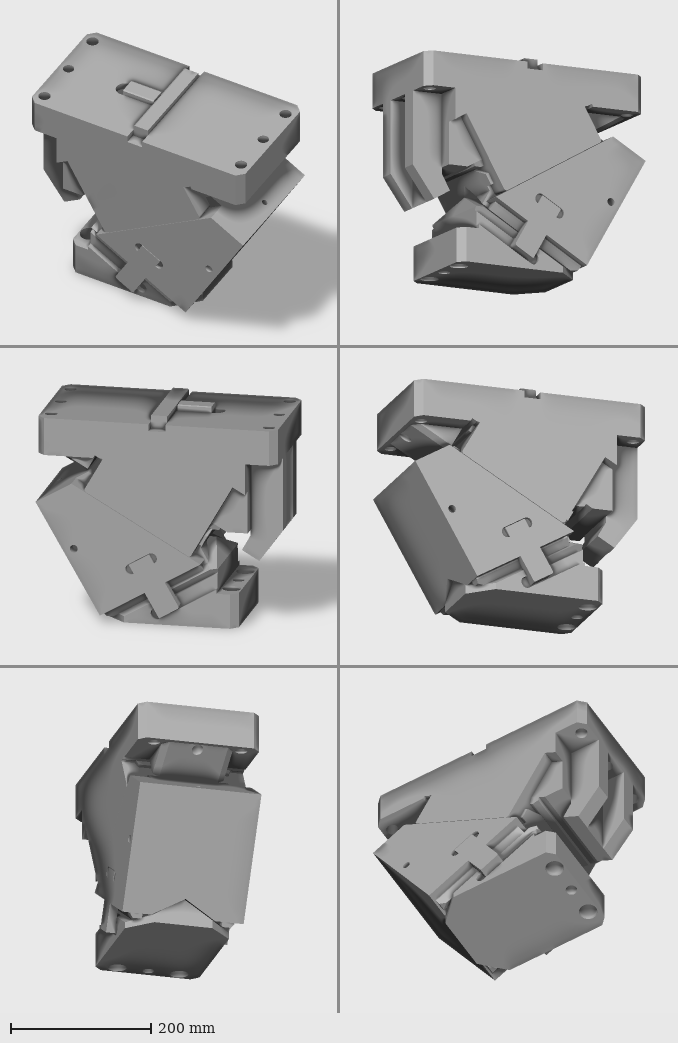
import cadquery as cq
import math


TILT = math.radians(30)
COS, SIN = math.cos(TILT), math.sin(TILT)

length = 352.0
width = 180.0
half_width = width / 2
top_z = 300.5

slide_top_length = 217.5
slide_end_length = 60.5
toe_x = length - (slide_top_length + slide_end_length) * COS
toe_z = 96.5
slide_bottom_length = slide_top_length * math.cos(2 * TILT) + slide_end_length
nose_step = 2.8

neck_half = 59.0
neck_height = 18.0
head_half = 70.5
head_edge_height = 34.5
head_height = 47.0
head_flat_half = 43.0
head_start = 13.0
rail_start = 18.0
rail_end = 197.5
rail_gap = 0.7

roof_half = 69.5
roof_edge = -12.5
roof_gap = 1.5
roof_apex = roof_edge + roof_half * math.tan(TILT)
tongue_half = 77.0
tongue_root = 3.5
tongue_side = 2.0
tongue_start = 7.0
tongue_end = 166.2
tongue_lowest_z = 6.7

hook_start = 60.0
hook_end = 94.0
hook_foot_inner = 72.0
hook_foot_top = -26.8
hook_bottom = -42.3
hook_fillet = 3.5
hook_top = 46.5
relief_end = 8.0
relief_bottom = 31.7
relief_top = 47.5
relief_radius = 7.7
relief_depth = 5.3

side_hole_x, side_hole_z = 296.0, 108.8
side_hole_diameter = 11.3
side_hole_depth = 17.5
end_hole_distance = 43.0
end_hole_diameter = 8.5
end_hole_depth = 17.5

plate_right = 350.0
plate_bottom = 245.5
corner_chamfer = 10.5
leg_top = 249.3
leg_half = 46.5
leg_slot_half = 22.2
leg_slot_depth = 35.2
leg_shoulder_z = 141.2
leg_tip = (34.5, 94.5)
leg_heel = (60.0, 109.0)
leg_back_x = 47.2
leg_knee_z = 131.7
web_x = 46.0
web_height = 56.5
notch_height = 125.5
rail_fillet = 4.2
ridge_start = 3.5
ridge_end = 202.5
ridge_flat_half = 67.0
ridge_lowest_z = 143.3
gap_top = 55.3
rear_gap_end = 210.2
rear_height = 19.0
rear_ridge_height = 13.5
rear_half = 52.8
rear_ridge_half = 43.3

left_hole_x, left_hole_y = 15.0, 69.7
right_hole_x, right_hole_y = 334.5, 64.8
outer_hole_diameter = 17.5
middle_hole_diameter = 16.2

key_slot_left, key_slot_right = 162.3, 186.5
key_floor = 290.0
key_top = 309.0
key_chamfer = 2.0
cross_key_left = 163.5
cross_key_half = 73.2
long_slot_half = 12.5
long_slot_left = 94.5
long_key_left = 111.5
long_key_right = 161.3

base_left, base_right = 60.0, 259.5
base_half = 77.0
base_plate_height = 50.7
base_step_x = 90.5
base_step_z = 85.0
base_top = 113.5
nose_roof_drop = 31.0
base_rear_chamfer = 34.0
base_hole_x, base_hole_y = 74.5, 45.8
base_hole_diameter = 26.5
base_middle_hole_diameter = 16.5
pocket_floor = -44.7
pocket_round_top = -28.0
pocket_round_radius = 7.5
pocket_end = 106.5
pocket_lip_half = 72.0
undercut_half = 64.0
undercut_deep = -25.0
undercut_bottom = -26.8

FAR = 528.0
NEAR = 0.5


def up_point(u, v):
    """XZ point at distance u along the +30 degree guide and v above it."""
    return (toe_x + u * COS - v * SIN, toe_z + u * SIN + v * COS)


def down_point(s, n):
    """XZ point at distance s along the -30 degree guide and n above it."""
    return (toe_x + s * COS + n * SIN, toe_z - s * SIN + n * COS)


def up_at_z(v, z):
    """XZ point at height z on the up-slope line that lies v above the guide."""
    return up_point((z - toe_z - v * COS) / SIN, v)


def wall(points, y_from, y_to):
    """Prism of an XZ outline between two Y values."""
    return cq.Workplane("XZ", origin=(0, y_from, 0)).polyline(points).close().extrude(y_from - y_to)


def centred(points, half):
    return wall(points, -half, half)


def along(frame_point, slope, points, start, end):
    """Prism of a (Y, height) outline along one of the two guides."""
    x, z = frame_point(start, 0)
    plane = cq.Plane(origin=(x, 0, z), xDir=(0, 1, 0), normal=(COS, 0, slope * SIN))
    return cq.Workplane(plane).polyline(points).close().extrude(end - start)


def along_up(points, start, end):
    return along(up_point, 1, points, start, end)


def along_down(points, start, end):
    return along(down_point, -1, points, start, end)


def mirrored(points):
    """Close a right-half outline into a symmetric one."""
    return points + [(-y, h) for y, h in reversed(points) if y > 0]


def both_sides(solid):
    return solid.union(solid.mirror("XZ"))


def drill(x, y, diameter, z_from, z_to):
    return cq.Workplane("XY", origin=(x, y, z_from)).circle(diameter / 2).extrude(z_to - z_from)


def t_section(bottom):
    return mirrored([
        (neck_half, bottom), (neck_half, neck_height), (head_half, neck_height),
        (head_half, head_edge_height), (head_flat_half, head_height),
    ])


def base_roof_at(y):
    """Height of the base's roof above the lower guide at distance y from the middle."""
    return roof_apex - roof_gap - y * math.tan(TILT)


def base_block():
    outline = [
        (base_left, 0), (base_left, base_plate_height), (base_step_x, base_plate_height),
        (base_step_x, base_step_z),
        (base_step_x + (base_top - base_step_z) * math.tan(TILT), base_top),
        (base_right, base_top), (base_right, 0),
    ]
    roof = mirrored([(base_half, -FAR), (base_half, base_roof_at(base_half)), (0, base_roof_at(0))])
    nose_roof = mirrored([(base_half, 0), (base_half, base_top - nose_roof_drop), (0, base_top)])
    block = centred(outline, base_half).intersect(along_down(roof, -FAR, FAR))
    block = block.intersect(cq.Workplane("YZ").polyline(nose_roof).close().extrude(base_right))
    plan = cq.Workplane("XY").box(
        base_right - base_left, 2 * base_half, base_top, centered=(False, True, False))
    plan = plan.translate((base_left, 0, 0)).edges("|Z and <X").chamfer(corner_chamfer)
    plan = plan.edges("|Z and >X").chamfer(base_rear_chamfer)
    return block.intersect(plan)


def hook_pocket():
    """Side pocket for one hook: open to the left, rounded at its lower right end."""
    open_part = along_down([
        (-half_width, pocket_floor), (-roof_half, pocket_floor), (-roof_half, undercut_bottom),
        (-undercut_half, undercut_deep), (-pocket_lip_half, base_roof_at(pocket_lip_half)),
        (-pocket_lip_half, 0), (-half_width, 0),
    ], -FAR, hook_end)
    rounded = wall([
        down_point(hook_start, pocket_floor), down_point(pocket_end, pocket_floor),
        down_point(pocket_end, pocket_round_top), down_point(hook_start, pocket_round_top),
    ], -FAR, -roof_half)
    return open_part.union(rounded.edges("|Y").fillet(pocket_round_radius))


def make_base():
    base = base_block().cut(both_sides(hook_pocket()))
    for y in (-base_hole_y, base_hole_y):
        base = base.cut(drill(base_hole_x, y, base_hole_diameter, 0, base_top))
    return base.cut(drill(base_hole_x, 0, base_middle_hole_diameter, 0, base_top))


def slide_body():
    end_height = slide_top_length * COS
    corners = [down_point(slide_bottom_length, end_height), down_point(slide_bottom_length, 0)]
    outer = centred([up_point(0, 0), up_point(slide_top_length, 0)] + corners, half_width)
    inner = centred([
        down_point(-nose_step, roof_edge),
        up_point(head_start, (head_start * math.cos(2 * TILT) + nose_step) / math.sin(2 * TILT)),
        up_point(head_start, neck_height),
        up_point((end_height - neck_height * SIN) / COS, neck_height),
    ] + corners, neck_half)
    return outer.union(inner).union(along_up(t_section(0), head_start, rail_end))


def slide_tongues():
    """Pair of downward tongues that flank the base's roof."""
    tongue = along_down([
        (-neck_half, tongue_root), (-tongue_half, tongue_root), (-tongue_half, -tongue_side),
        (-roof_half, roof_edge), (-neck_half, roof_edge),
    ], tongue_start, tongue_end)
    above_floor = cq.Workplane("XY", origin=(0, 0, tongue_lowest_z)).box(
        2 * FAR, FAR, FAR, centered=(True, True, False))
    return both_sides(tongue.intersect(above_floor))


def slide_hook():
    hook = along_down([
        (-half_width, 0), (-tongue_half, 0), (-tongue_half, hook_foot_top),
        (-hook_foot_inner, hook_foot_top), (-hook_foot_inner, hook_bottom), (-half_width, hook_bottom),
    ], hook_start, hook_end)
    return hook.edges("|Y").edges("<X").fillet(hook_fillet)


def hook_relief():
    """Shallow pocket around the head of one hook."""
    pocket = wall([
        down_point(hook_start - relief_end, relief_bottom), down_point(hook_end + relief_end, relief_bottom),
        down_point(hook_end + relief_end, relief_top), down_point(hook_start - relief_end, relief_top),
    ], -half_width, relief_depth - half_width).edges("|Y").fillet(relief_radius)
    hook_head = wall([
        down_point(hook_start, 0), down_point(hook_end, 0),
        down_point(hook_end, hook_top), down_point(hook_start, hook_top),
    ], -half_width, relief_depth - half_width)
    return pocket.cut(hook_head)


def make_slide():
    roof_space = along_down([(-roof_half, roof_edge), (0, roof_apex), (roof_half, roof_edge)], -FAR, FAR)
    slide = slide_body().union(slide_tongues()).cut(roof_space)
    slide = slide.union(both_sides(slide_hook())).cut(both_sides(hook_relief()))
    side_hole = (
        cq.Workplane("XZ", origin=(side_hole_x, -half_width, side_hole_z))
        .circle(side_hole_diameter / 2).extrude(-side_hole_depth)
    )
    x, z = down_point(slide_bottom_length - slide_end_length + end_hole_distance, slide_top_length * COS)
    end_plane = cq.Plane(origin=(x, 0, z), xDir=(0, 1, 0), normal=(SIN, 0, COS))
    end_hole = cq.Workplane(end_plane).circle(end_hole_diameter / 2).extrude(-end_hole_depth)
    return slide.cut(both_sides(side_hole)).cut(end_hole)


def holder_plate():
    plate = cq.Workplane("XY", origin=(0, 0, plate_bottom)).box(
        plate_right, 2 * half_width, top_z - plate_bottom, centered=(False, True, False))
    plate = plate.edges("|Z").chamfer(corner_chamfer)
    return plate.cut(centred([(0, 0), (web_x, 0), (web_x, leg_top), (0, leg_top)], half_width))


def holder_web():
    web = centred([
        (web_x, leg_top), (web_x, leg_shoulder_z), up_at_z(web_height, leg_shoulder_z),
        up_point(rail_start, web_height), up_point(rail_start, rail_gap),
        up_point(rail_end, rail_gap), up_point(rail_end, web_height),
        up_point(rear_gap_end, web_height),
    ], half_width)
    rear_block = centred([
        up_point(rear_gap_end, web_height), up_point(rear_gap_end, rear_height),
        up_at_z(rear_height, plate_bottom),
    ], rear_half)
    notch = wall([
        up_point(rail_start, 0), up_point(rail_start, notch_height),
        up_point(-FAR, notch_height), up_point(-FAR, 0),
    ], -half_width, -head_half)
    return web.cut(both_sides(notch)).union(rear_block)


def rail_corner_rounds(web):
    """Round the lower end edges of both rails."""
    for u in (rail_start, rail_end):
        x, z = up_point(u, rail_gap)
        near_edge = cq.selectors.BoxSelector((x - NEAR, -FAR, z - NEAR), (x + NEAR, FAR, z + NEAR))
        web = web.edges(near_edge).fillet(rail_fillet)
    return web


def holder_ridges():
    """Downward ridges under the web and under the rear block."""
    web_ridge = along_up(
        mirrored([(ridge_flat_half, head_height), (head_half, web_height)]), ridge_start, ridge_end)
    rear_end = (plate_bottom - toe_z - rear_ridge_height * COS) / SIN
    rear_ridge = along_up(
        mirrored([(rear_ridge_half, rear_ridge_height), (rear_half, rear_height)]), rear_gap_end, rear_end)
    above_floor = cq.Workplane("XY", origin=(0, 0, ridge_lowest_z)).box(
        2 * FAR, FAR, plate_bottom - ridge_lowest_z, centered=(True, True, False))
    return web_ridge.union(rear_ridge).intersect(above_floor)


def rear_gap():
    """Through gap between the rails and the rear block, also notching the plate."""
    return centred([
        up_point(rail_end, neck_height), up_point(rear_gap_end, neck_height),
        up_point(rear_gap_end, gap_top), up_point(rail_end, gap_top),
    ], half_width)


def holder_legs():
    legs = centred([
        (0, leg_top), (0, leg_shoulder_z), leg_tip, leg_heel,
        (leg_back_x, leg_knee_z), (leg_back_x, leg_top),
    ], leg_half)
    slot = centred([(0, 0), (leg_slot_depth, 0), (leg_slot_depth, leg_top), (0, leg_top)], leg_slot_half)
    return legs.cut(slot)


def key_slots():
    cross = centred([
        (key_slot_left, key_floor), (key_slot_right, key_floor),
        (key_slot_right, top_z), (key_slot_left, top_z),
    ], half_width)
    round_x = long_slot_left + long_slot_half
    long_slot = centred([
        (round_x, key_floor), (key_slot_left, key_floor), (key_slot_left, top_z), (round_x, top_z),
    ], long_slot_half)
    long_slot = long_slot.union(drill(round_x, 0, 2 * long_slot_half, key_floor, top_z))
    return cross.union(long_slot)


def keys():
    cross = centred([
        (cross_key_left, key_floor), (key_slot_right, key_floor),
        (key_slot_right, key_top), (cross_key_left, key_top),
    ], cross_key_half).edges(">Z and <X").chamfer(key_chamfer, key_chamfer / 2)
    long_key = centred([
        (long_key_left, key_floor), (long_key_right, key_floor),
        (long_key_right, key_top), (long_key_left, key_top),
    ], long_slot_half).edges(">Z and |X").chamfer(key_chamfer, key_chamfer / 2)
    return cross.union(long_key)


def mounting_holes():
    holes = drill(left_hole_x, 0, middle_hole_diameter, plate_bottom, top_z)
    holes = holes.union(drill(right_hole_x, 0, middle_hole_diameter, 0, top_z))
    for side in (-1, 1):
        holes = holes.union(drill(left_hole_x, side * left_hole_y, outer_hole_diameter, plate_bottom, top_z))
        holes = holes.union(drill(right_hole_x, side * right_hole_y, outer_hole_diameter, 0, top_z))
    return holes


def make_holder():
    web = holder_web().cut(along_up(t_section(0), head_start, rail_end))
    web = rail_corner_rounds(web)
    holder = holder_plate().union(web).cut(rear_gap()).union(holder_ridges()).union(holder_legs())
    return holder.cut(mounting_holes()).cut(key_slots()).union(keys())


holder = make_holder()
slide = make_slide()
base = make_base()

result = cq.Compound.makeCompound([holder.val(), slide.val(), base.val()])